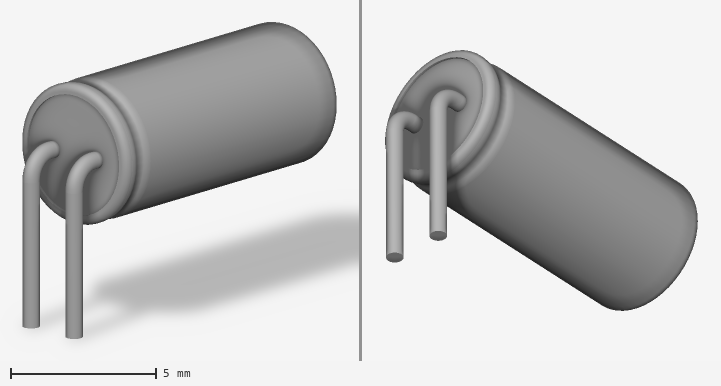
import cadquery as cq


overall_length = 12.35
overall_height = 8.6

can_diameter = 5.0
can_length = 11.0
rim_fillet = 0.25
rear_fillet = 0.37

groove_position = 0.78
groove_half_width = 0.46
groove_root_half_width = 0.19
groove_depth = 0.14

seal_diameter = 4.29
seal_recess = 0.1

lead_diameter = 0.6
lead_spacing = 2.0
bend_radius = 0.9

can_radius = can_diameter / 2
leg_y = -(overall_length - can_length - lead_diameter / 2)
bend_start_y = leg_y + bend_radius
leg_bottom_z = can_radius - overall_height


def make_can():
    """Revolved can with a smooth S-curved crimp groove and rounded ends."""
    root_share = groove_root_half_width / groove_half_width
    turn_radius = can_radius - groove_depth * (1 - root_share)

    profile = (
        cq.Workplane("XY")
        .lineTo(can_radius, 0)
        .lineTo(can_radius, groove_position - groove_half_width)
        .tangentArcPoint((turn_radius, groove_position - groove_root_half_width), relative=False)
        .tangentArcPoint((turn_radius, groove_position + groove_root_half_width), relative=False)
        .tangentArcPoint((can_radius, groove_position + groove_half_width), relative=False)
        .lineTo(can_radius, can_length)
        .lineTo(0, can_length)
        .close()
    )
    can = profile.revolve(360, (0, 0, 0), (0, 1, 0))
    can = can.faces("<Y").edges().fillet(rim_fillet)
    return can.faces(">Y").edges().fillet(rear_fillet)


def make_seal_recess():
    """Shallow round pocket in the rim end, down to the seal."""
    return cq.Workplane("XZ").circle(seal_diameter / 2).extrude(-seal_recess)


def make_lead(x):
    """Lead leaving the seal along -Y and bending down to a straight leg."""
    path = (
        cq.Workplane("YZ", origin=(x, 0, 0))
        .moveTo(seal_recess, 0)
        .lineTo(bend_start_y, 0)
        .tangentArcPoint((leg_y, -bend_radius), relative=False)
        .lineTo(leg_y, leg_bottom_z)
    )
    section = cq.Workplane("XZ", origin=(x, seal_recess, 0)).circle(lead_diameter / 2)
    return section.sweep(path)


result = make_can().cut(make_seal_recess())
for side in (-1, 1):
    result = result.union(make_lead(side * lead_spacing / 2))